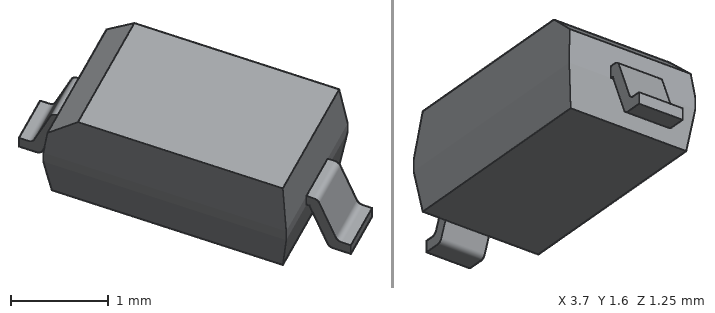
import cadquery as cq
import math

overall_length = 3.7
overall_height = 1.25

housing_length = 2.71
housing_width = 1.6
housing_bottom = 0.055
taper_inset = 0.065
lead_thickness = 0.137
band_top = 0.68
band_bottom = band_top - lead_thickness

cut_length = 0.36
cut_bottom = 0.97

lead_width = 0.55
knee_x = 1.48
leg_lean = 22.0
bend_radius = 0.075


def tapered_block(start_z, height):
    """Block from the band outline at start_z, narrowing along the signed height."""
    end_length = housing_length - 2 * taper_inset
    end_width = housing_width - 2 * taper_inset
    return (
        cq.Workplane("XY", origin=(0, 0, start_z))
        .rect(housing_length, housing_width)
        .workplane(offset=height)
        .rect(end_length, end_width)
        .loft(ruled=True)
    )


def sloped_cutter():
    """Triangular prism that removes the top edge at the -X end."""
    end_x = -housing_length / 2
    wall_inset = taper_inset * (cut_bottom - band_top) / (overall_height - band_top)
    low_x = end_x + wall_inset
    high_x = end_x + cut_length
    slope = (overall_height - cut_bottom) / (high_x - low_x)
    outer_z = cut_bottom - slope * wall_inset
    return (
        cq.Workplane("XZ")
        .moveTo(end_x, outer_z)
        .lineTo(high_x, overall_height)
        .lineTo(end_x, overall_height)
        .close()
        .extrude(housing_width / 2, both=True)
    )


def make_housing():
    band = cq.Workplane("XY", origin=(0, 0, band_bottom)).box(
        housing_length, housing_width, lead_thickness, centered=(True, True, False)
    )
    upper = tapered_block(band_top, overall_height - band_top)
    lower = tapered_block(band_bottom, housing_bottom - band_bottom)
    return band.union(upper).union(lower).cut(sloped_cutter())


def make_lead(side):
    """Bent strip on the +X (side = 1) or -X (side = -1) end of the housing."""
    lean = math.radians(leg_lean)
    run_per_drop = math.tan(lean)
    bend_shift = lead_thickness * math.tan((math.pi / 2 - lean) / 2)
    root_x = housing_length / 2
    tip_x = overall_length / 2

    inner_knee_x = knee_x - bend_shift
    ankle_x = knee_x + (band_top - lead_thickness) * run_per_drop
    heel_x = inner_knee_x + band_bottom * run_per_drop
    outline = [
        (root_x, band_top),
        (knee_x, band_top),
        (ankle_x, lead_thickness),
        (tip_x, lead_thickness),
        (tip_x, 0),
        (heel_x, 0),
        (inner_knee_x, band_bottom),
        (root_x, band_bottom),
    ]
    strip = (
        cq.Workplane("XZ")
        .polyline([(side * x, z) for x, z in outline])
        .close()
        .extrude(lead_width / 2, both=True)
    )
    for x, z in [(knee_x, band_top), (ankle_x, lead_thickness), (heel_x, 0)]:
        bend_edge = cq.selectors.NearestToPointSelector((side * x, 0, z))
        strip = strip.edges("|Y").edges(bend_edge).fillet(bend_radius)
    return strip


housing = make_housing()
leads = [make_lead(side) for side in (-1, 1)]

result = cq.Compound.makeCompound([housing.solids().val(), *[lead.solids().val() for lead in leads]])